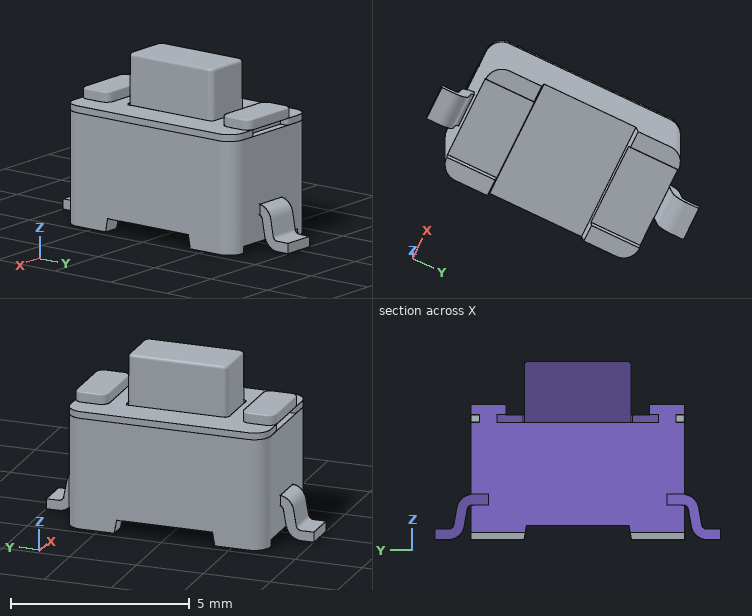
import cadquery as cq
import math


body_width = 3.5
body_length = 6.0
body_corner_radius = 0.5
housing_height = 3.3

channel_draft = 10.0
cross_channel_depth = 0.4
cross_channel_width = 3.0
long_channel_depth = 0.2
long_channel_width = 2.5

cover_thickness = 0.2
cover_top = housing_height + cover_thickness
window_clearance = 0.03
window_corner_radius = 0.13

head_width = 2.0
head_length = 1.0
head_height = 0.3
head_corner_radius = 0.25
head_edge_radius = 0.05
slot_width = 1.5
slot_length = 0.75
slot_mouth_radius = 0.1
post_setback = 0.25
post_length = slot_length - post_setback

button_width = 1.5
button_length = 3.0
button_top = 5.0
button_corner_radius = 0.18
button_edge_radius = 0.1

overall_length = 8.0
lead_width = 1.0
lead_thickness = 0.3
lead_top = 1.28
lead_foot_length = 0.38
lead_inner_bend_radius = 0.15
lead_riser_lean = 10.0
lead_embedment = 0.5

END_SIDES = (-1, 1)


def rounded_block(width, length, height, corner_radius, base_z):
    """Upright block centred on the Z axis, with its four vertical edges rounded."""
    block = cq.Workplane("XY").workplane(offset=base_z).rect(width, length).extrude(height)
    return block.edges("|Z").fillet(corner_radius)


def channel(plane, width, depth, run):
    """Cutter for an open channel on the underside, narrower at its roof."""
    half_base = width / 2
    half_roof = half_base - depth * math.tan(math.radians(channel_draft))
    outline = [(-half_base, 0), (half_base, 0), (half_roof, depth), (-half_roof, depth)]
    return cq.Workplane(plane).polyline(outline).close().extrude(run / 2, both=True)


def make_rivet(side):
    """Post and head at one end; the head is flush with the end of the housing."""
    end_y = body_length / 2
    post_y = side * (end_y - post_setback - post_length / 2)
    post = (
        cq.Workplane("XY").workplane(offset=housing_height)
        .center(0, post_y).rect(slot_width, post_length).extrude(cover_thickness)
    )
    head = rounded_block(head_width, head_length, head_height, head_corner_radius, cover_top)
    head = head.faces(">Z").edges().fillet(head_edge_radius)
    return post.union(head.translate((0, side * (end_y - head_length / 2), 0)))


def make_housing(leads):
    """Block on four feet, with the rivets on top and a pocket for each lead."""
    housing = rounded_block(body_width, body_length, housing_height, body_corner_radius, 0)
    housing = housing.cut(channel("YZ", cross_channel_width, cross_channel_depth, body_width))
    housing = housing.cut(channel("XZ", long_channel_width, long_channel_depth, body_length))
    for side in END_SIDES:
        housing = housing.union(make_rivet(side))
    for lead in leads:
        housing = housing.cut(lead)
    return housing


def make_cover():
    """Plate with a window for the button and a round-mouthed slot at each end."""
    cover = rounded_block(body_width, body_length, cover_thickness, body_corner_radius, housing_height)
    window = rounded_block(
        button_width + 2 * window_clearance,
        button_length + 2 * window_clearance,
        cover_thickness,
        window_corner_radius,
        housing_height,
    )
    cover = cover.cut(window)
    for side in END_SIDES:
        slot_y = side * (body_length - slot_length) / 2
        slot = (
            cq.Workplane("XY").workplane(offset=housing_height)
            .center(0, slot_y).rect(slot_width, slot_length).extrude(cover_thickness)
        )
        cover = cover.cut(slot)
        for mouth_x in (-slot_width / 2, slot_width / 2):
            mouth = (mouth_x, side * body_length / 2, housing_height + cover_thickness / 2)
            cover = cover.edges(cq.NearestToPointSelector(mouth)).fillet(slot_mouth_radius)
    return cover


def make_button():
    """Button standing on the housing, through the window of the cover."""
    button = rounded_block(
        button_width, button_length, button_top - housing_height, button_corner_radius, housing_height
    )
    return button.faces(">Z").edges().fillet(button_edge_radius)


def make_lead(side):
    """Gull-wing strip: foot, leaning riser and tail, swept along its centre line."""
    bend_radius = lead_inner_bend_radius + lead_thickness / 2
    lean = math.radians(lead_riser_lean)
    bend_run = bend_radius * math.cos(lean)
    bend_rise = bend_radius * (1 - math.sin(lean))

    foot_z = lead_thickness / 2
    tail_z = lead_top - lead_thickness / 2
    riser_rise = tail_z - foot_z - 2 * bend_rise
    riser_run = riser_rise * math.tan(lean)

    tip_y = overall_length / 2
    foot_end_y = tip_y - lead_foot_length
    riser_bottom_y = foot_end_y - bend_run
    riser_top_y = riser_bottom_y - riser_run
    tail_start_y = riser_top_y - bend_run
    tail_end_y = body_length / 2 - lead_embedment

    path = (
        cq.Workplane("YZ")
        .moveTo(side * tip_y, foot_z)
        .lineTo(side * foot_end_y, foot_z)
        .tangentArcPoint((side * riser_bottom_y, foot_z + bend_rise), relative=False)
        .lineTo(side * riser_top_y, tail_z - bend_rise)
        .tangentArcPoint((side * tail_start_y, tail_z), relative=False)
        .lineTo(side * tail_end_y, tail_z)
    )
    section = cq.Workplane("XZ", origin=(0, side * tip_y, foot_z)).rect(lead_width, lead_thickness)
    return section.sweep(path)


leads = [make_lead(side) for side in END_SIDES]
housing = make_housing(leads)
cover = make_cover()
button = make_button()

result = cq.Compound.makeCompound(
    [housing.val(), cover.val(), button.val(), *[lead.val() for lead in leads]]
)